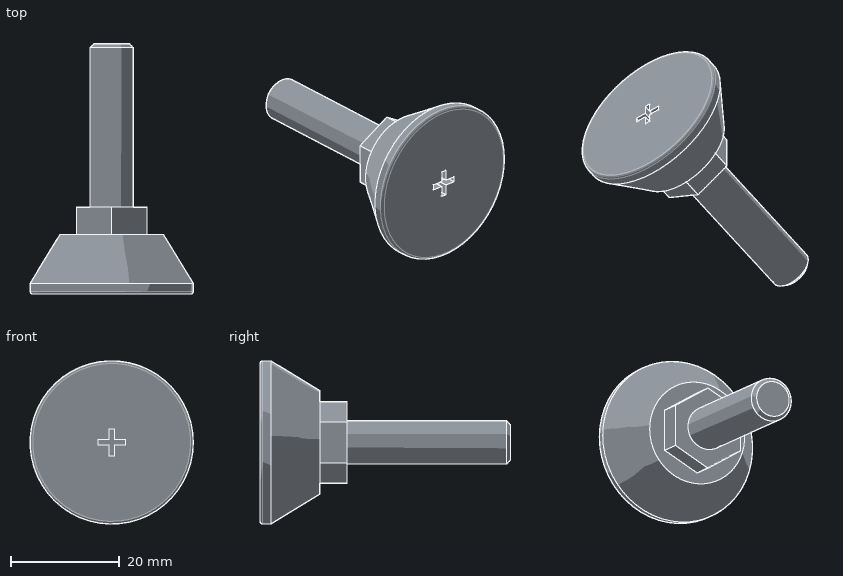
import cadquery as cq

foot_diameter = 30.0
foot_top_diameter = 19.0
foot_height = 11.0
rim_height = 2.0
rim_fillet = 0.5

hex_across_flats = 13.0
hex_height = 5.0

stud_diameter = 8.0
stud_length = 30.0
stud_chamfer = 0.75

cross_length = 5.0
cross_width = 1.0
cross_depth = 2.0

hex_start = foot_height
stud_start = hex_start + hex_height


def make_foot():
    """Conical foot with a short cylindrical rim, rounded at the floor edge."""
    foot_radius = foot_diameter / 2
    profile = (
        cq.Workplane("XY")
        .lineTo(foot_radius, 0)
        .lineTo(foot_radius, rim_height)
        .lineTo(foot_top_diameter / 2, foot_height)
        .lineTo(0, foot_height)
        .close()
    )
    foot = profile.revolve(360, (0, 0, 0), (0, 1, 0))
    return foot.faces("<Y").edges().fillet(rim_fillet)


def make_hex():
    """Hexagonal wrench collar with two flats facing -X and +X."""
    slab_width = 2 * hex_across_flats
    flat_slab = cq.Workplane("XY").box(
        hex_across_flats, hex_height, slab_width
    )
    collar = flat_slab
    for angle in (60, 120):
        collar = collar.intersect(flat_slab.rotate((0, 0, 0), (0, 1, 0), angle))
    return collar.translate((0, hex_start + hex_height / 2, 0))


def make_stud():
    """Plain stud with a chamfered free end."""
    stud = (
        cq.Workplane("XZ", origin=(0, stud_start, 0))
        .circle(stud_diameter / 2)
        .extrude(-stud_length)
    )
    return stud.faces(">Y").edges().chamfer(stud_chamfer)


def make_cross_recess():
    """Cross-shaped blind recess in the foot face, used as a cutter."""
    bar = cq.Workplane("XZ").rect(cross_length, cross_width).extrude(-cross_depth)
    return bar.union(bar.rotate((0, 0, 0), (0, 1, 0), 90))


result = make_foot().union(make_hex()).union(make_stud()).cut(make_cross_recess())